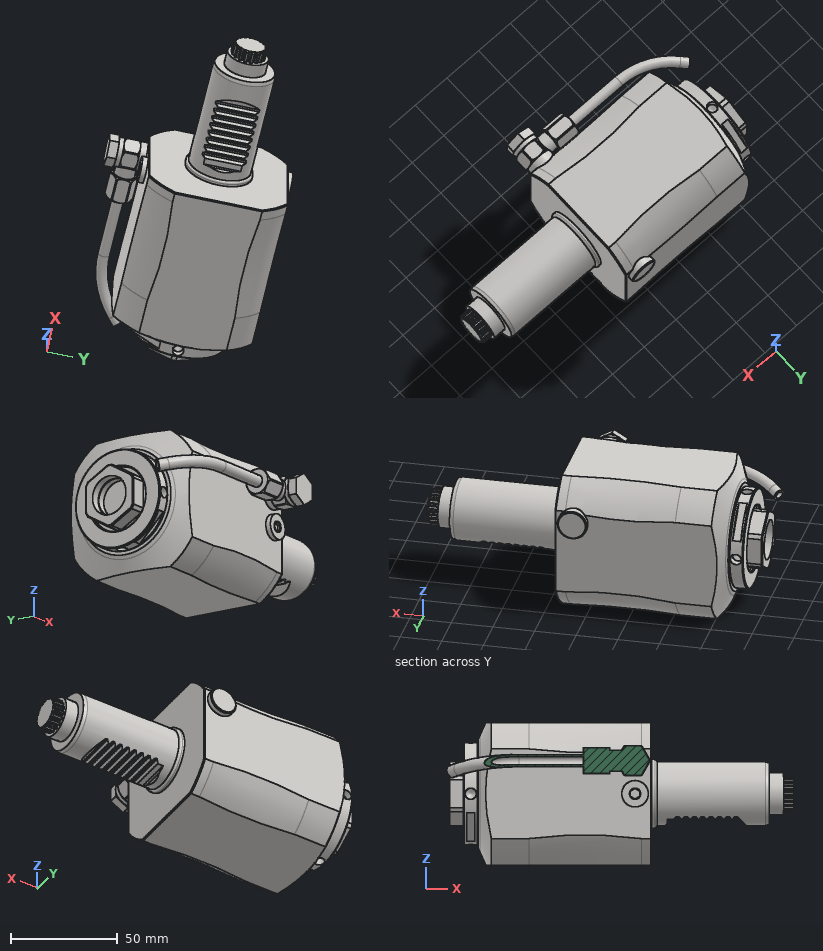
import cadquery as cq
import math

X_AXIS = (1, 0, 0)
Y_AXIS = (0, 1, 0)
Z_AXIS = (0, 0, 1)
HEX_HALF_ANGLE = math.radians(30)

BLOCK_FRONT = -81.4
BLOCK_SIZE = 67.0
FRONT_FACE_RADIUS = 25.7
FRONT_BEVEL_LENGTH = 0.8
CONE_START_RADIUS = 27.5
CONE_END = -75.2
CORNER_RADIUS = 39.5
WAIST_START = -57.7
WAIST_END = -4.9
WAIST_DEPTH = 0.9
REAR_CHAMFER = 0.5

FLANGE_RADIUS = 16.2
FLANGE_LENGTH = 2.5
SHANK_RADIUS = 15.0
SHANK_END = 55.0
SHANK_CHAMFER_LENGTH = 1.8
SHANK_CHAMFER_DEPTH = 0.5

RACK_START = 7.4
RACK_EDGE_CHAMFER = 1.0
RACK_TIP_Z = -12.1
RACK_TOOTH_HEIGHT = 1.3
RACK_FIRST_NOTCH = 12.1
RACK_PITCH = 4.0
RACK_NOTCHES = 8
NOTCH_BOTTOM_WIDTH = 1.0
NOTCH_TOP_WIDTH = 3.5
RACK_CLEAR_Z = -16.3

FITTING_X = -8.8
FITTING_Z = 15.5
BOSS_RADIUS = 7.0
BOSS_ROOT_Y = 24.5
PLUG_END_Y = 36.6
PLUG_CHAMFER = 0.5
BANJO_APOTHEM = 7.0
BANJO_INNER_Y = -37.0
BANJO_OUTER_Y = -44.8
BOLT_HEAD_APOTHEM = 6.9
BOLT_HEAD_INNER_Y = -47.2
BOLT_HEAD_OUTER_Y = -51.8
HEX_EDGE_CHAMFER = 0.8
HEX_CORNER_RELIEF = 0.2

PIPE_Y = (BANJO_INNER_Y + BANJO_OUTER_Y) / 2
NECK_RADIUS = 5.0
PIPE_NUT_APOTHEM = 6.0
PIPE_NUT_REAR = -19.6
PIPE_NUT_FRONT = -32.0
PIPE_RADIUS = 3.0
PIPE_BORE_RADIUS = 1.8
PIPE_STRAIGHT = 30.4
PIPE_BEND_RADIUS = 40.0
PIPE_BEND_ANGLE = math.radians(45)
PIPE_TILT = math.radians(20)
PIPE_TIP = 4.7

SCREW_X = -7.8
SCREW_RADIUS = 6.2
SCREW_HEIGHT = 2.6
SOCKET_APOTHEM = 2.1
SOCKET_RIM_RADIUS = 2.6
SOCKET_RIM_DEPTH = 0.3
SOCKET_DEPTH = 1.6

SHAFT_RADIUS = 10.0
SHAFT_END = 61.8
RING_FRONT = -88.3
RING_RADIUS = 24.0
RING_CHAMFER = 0.5
RECESS_RADIUS = 15.7
RECESS_DEPTH = 1.6
RECESS_CHAMFER = 0.5
HEX_FRONT = -95.1
HEX_APOTHEM = 13.5
HEX_CORNER_RADIUS = 15.0
HEX_FRONT_CHAMFER = 0.5
SPANNER_HOLES = 4
SPANNER_HOLE_X = -84.8
SPANNER_HOLE_RADIUS = 2.6
SPANNER_HOLE_DEPTH = 4.1
DRILL_TIP_HEIGHT = 1.6
FLAT_ANGLES = (45, 225)
FLAT_DISTANCE = 22.0
FLAT_WIDTH = 4.0
BORE_RADIUS = 9.5
BORE_DEPTH = 8.8
BORE_SEAT_RADIUS = 9.2
BORE_STEP_DEPTH = 4.7

SPLINE_END = 67.3
SPLINE_TIP_RADIUS = 8.2
SPLINE_ROOT_RADIUS = 7.2
SPLINE_TEETH = 18
SPLINE_CHAMFER = 0.8
SPLINE_GAP_BOTTOM_WIDTH = 0.8
SPLINE_GAP_TOP_WIDTH = 1.8


def cylinder(start, direction, radius, length):
    return cq.Workplane(cq.Solid.makeCylinder(radius, length, cq.Vector(*start), cq.Vector(*direction)))


def x_cylinder(x_start, x_end, radius):
    return cylinder((x_start, 0, 0), X_AXIS, radius, x_end - x_start)


def hex_prism(start, direction, corner_direction, apothem, length):
    plane = cq.Plane(origin=start, xDir=corner_direction, normal=direction)
    corner_radius = apothem / math.cos(HEX_HALF_ANGLE)
    return cq.Workplane(plane).polygon(6, 2 * corner_radius).extrude(length)


def chamfered_hex(start, direction, corner_direction, apothem, length):
    """Hexagonal prism with its corners turned down slightly and chamfered at both ends."""
    turned_radius = apothem / math.cos(HEX_HALF_ANGLE) - HEX_CORNER_RELIEF
    turned = cylinder(start, direction, turned_radius, length).edges().chamfer(HEX_EDGE_CHAMFER)
    return hex_prism(start, direction, corner_direction, apothem, length).intersect(turned)


def make_block():
    """Turned profile with a conical nose and a waist, squared by four flat sides."""
    waist_middle = ((WAIST_START + WAIST_END) / 2, CORNER_RADIUS - WAIST_DEPTH)
    turned = (
        cq.Workplane("XY")
        .moveTo(BLOCK_FRONT, 0)
        .lineTo(BLOCK_FRONT, FRONT_FACE_RADIUS)
        .lineTo(BLOCK_FRONT + FRONT_BEVEL_LENGTH, CONE_START_RADIUS)
        .lineTo(CONE_END, CORNER_RADIUS)
        .lineTo(WAIST_START, CORNER_RADIUS)
        .threePointArc(waist_middle, (WAIST_END, CORNER_RADIUS))
        .lineTo(0, CORNER_RADIUS)
        .lineTo(0, 0)
        .close()
        .revolve(360, (0, 0, 0), X_AXIS)
    )
    square = cq.Workplane("YZ").rect(BLOCK_SIZE, BLOCK_SIZE).extrude(BLOCK_FRONT)
    return turned.intersect(square).faces(">X").edges().chamfer(REAR_CHAMFER)


def make_shank():
    """Turned shank whose thin flange rounds down onto the shank, with the toothed flat cut in."""
    flange_round = FLANGE_RADIUS - SHANK_RADIUS
    round_start = FLANGE_LENGTH - flange_round
    round_middle = (
        round_start + flange_round * math.cos(math.radians(45)),
        SHANK_RADIUS + flange_round * math.sin(math.radians(45)),
    )
    shank = (
        cq.Workplane("XY")
        .moveTo(0, 0)
        .lineTo(0, FLANGE_RADIUS)
        .lineTo(round_start, FLANGE_RADIUS)
        .threePointArc(round_middle, (FLANGE_LENGTH, SHANK_RADIUS))
        .lineTo(SHANK_END - SHANK_CHAMFER_LENGTH, SHANK_RADIUS)
        .lineTo(SHANK_END, SHANK_RADIUS - SHANK_CHAMFER_DEPTH)
        .lineTo(SHANK_END, 0)
        .close()
        .revolve(360, (0, 0, 0), X_AXIS)
    )
    return shank.cut(make_rack_cutter())


def make_rack_cutter():
    """Clamping teeth: a flat with notches, leaving the shank by a 45 degree slope."""
    root_z = RACK_TIP_Z + RACK_TOOTH_HEIGHT
    chamfer_top_z = -SHANK_RADIUS + RACK_EDGE_CHAMFER
    outline = [
        (RACK_START - (chamfer_top_z - RACK_CLEAR_Z), RACK_CLEAR_Z),
        (RACK_START, chamfer_top_z),
        (RACK_START, RACK_TIP_Z),
    ]
    for notch in range(RACK_NOTCHES):
        middle = RACK_FIRST_NOTCH + notch * RACK_PITCH
        outline.append((middle - NOTCH_TOP_WIDTH / 2, RACK_TIP_Z))
        outline.append((middle - NOTCH_BOTTOM_WIDTH / 2, root_z))
        outline.append((middle + NOTCH_BOTTOM_WIDTH / 2, root_z))
        if notch < RACK_NOTCHES - 1:
            outline.append((middle + NOTCH_TOP_WIDTH / 2, RACK_TIP_Z))
    slope_start = outline[-1][0]
    outline.append((slope_start + root_z - RACK_CLEAR_Z, RACK_CLEAR_Z))
    return cq.Workplane("XZ").polyline(outline).close().extrude(SHANK_RADIUS, both=True)


def make_rear_plug():
    start = (FITTING_X, BOSS_ROOT_Y, FITTING_Z)
    plug = cylinder(start, Y_AXIS, BOSS_RADIUS, PLUG_END_Y - BOSS_ROOT_Y)
    return plug.faces(">Y").edges().chamfer(PLUG_CHAMFER)


def make_banjo_fitting():
    """Banjo bolt through a hexagonal banjo body."""
    boss_start = (FITTING_X, BOLT_HEAD_INNER_Y, FITTING_Z)
    banjo_start = (FITTING_X, BANJO_OUTER_Y, FITTING_Z)
    head_start = (FITTING_X, BOLT_HEAD_OUTER_Y, FITTING_Z)
    boss = cylinder(boss_start, Y_AXIS, BOSS_RADIUS, -BOSS_ROOT_Y - BOLT_HEAD_INNER_Y)
    banjo = chamfered_hex(banjo_start, Y_AXIS, X_AXIS, BANJO_APOTHEM, BANJO_INNER_Y - BANJO_OUTER_Y)
    head_length = BOLT_HEAD_INNER_Y - BOLT_HEAD_OUTER_Y
    head = hex_prism(head_start, Y_AXIS, Z_AXIS, BOLT_HEAD_APOTHEM, head_length)
    return boss.union(banjo).union(head)


def sweep_along_pipe(radius):
    """Round bar along the pipe's centre line: straight, bent towards the axis, then a short tip."""
    start = (PIPE_NUT_FRONT, PIPE_Y, FITTING_Z)
    bend_plane = cq.Plane(
        origin=start,
        xDir=(-1, 0, 0),
        normal=(0, -math.sin(PIPE_TILT), -math.cos(PIPE_TILT)),
    )

    def bend_point(angle):
        along = PIPE_STRAIGHT + PIPE_BEND_RADIUS * math.sin(angle)
        inward = PIPE_BEND_RADIUS * (1 - math.cos(angle))
        return along, inward

    bend_end = bend_point(PIPE_BEND_ANGLE)
    tip = (
        bend_end[0] + PIPE_TIP * math.cos(PIPE_BEND_ANGLE),
        bend_end[1] + PIPE_TIP * math.sin(PIPE_BEND_ANGLE),
    )
    path = (
        cq.Workplane(bend_plane)
        .lineTo(PIPE_STRAIGHT, 0)
        .threePointArc(bend_point(PIPE_BEND_ANGLE / 2), bend_end)
        .lineTo(*tip)
    )
    section_plane = cq.Plane(origin=start, xDir=Y_AXIS, normal=(-1, 0, 0))
    return cq.Workplane(section_plane).circle(radius).sweep(path)


def make_coolant_pipe():
    nut_start = (PIPE_NUT_FRONT, PIPE_Y, FITTING_Z)
    nut_length = PIPE_NUT_REAR - PIPE_NUT_FRONT
    nut = chamfered_hex(nut_start, X_AXIS, Y_AXIS, PIPE_NUT_APOTHEM, nut_length)
    neck_start = (PIPE_NUT_REAR, PIPE_Y, FITTING_Z)
    neck = cylinder(neck_start, X_AXIS, NECK_RADIUS, FITTING_X - PIPE_NUT_REAR)
    pipe = sweep_along_pipe(PIPE_RADIUS).cut(sweep_along_pipe(PIPE_BORE_RADIUS))
    return nut.union(neck).union(pipe)


def make_screw_plug():
    outer_y = -BLOCK_SIZE / 2 - SCREW_HEIGHT
    start = (SCREW_X, outer_y, 0)
    disc = cylinder(start, Y_AXIS, SCREW_RADIUS, SCREW_HEIGHT)
    rim = cylinder(start, Y_AXIS, SOCKET_RIM_RADIUS, SOCKET_RIM_DEPTH)
    socket = hex_prism(start, Y_AXIS, Z_AXIS, SOCKET_APOTHEM, SOCKET_DEPTH)
    return disc.cut(rim).cut(socket)


def make_housing():
    """Block, shank and coolant fittings in one solid, with a through bore for the spindle."""
    housing = make_block().union(make_shank())
    housing = housing.union(make_rear_plug())
    housing = housing.union(make_banjo_fitting())
    housing = housing.union(make_coolant_pipe())
    housing = housing.union(make_screw_plug())
    return housing.cut(x_cylinder(BLOCK_FRONT, SHANK_END, SHAFT_RADIUS))


def make_nut_ring():
    ring = x_cylinder(RING_FRONT, BLOCK_FRONT, RING_RADIUS).edges().chamfer(RING_CHAMFER)
    recess = x_cylinder(RING_FRONT, RING_FRONT + RECESS_DEPTH, RECESS_RADIUS)
    ring = ring.cut(recess)
    recess_edge = cq.selectors.RadiusNthSelector(0)
    ring = ring.faces("<X").edges(recess_edge).chamfer(RECESS_CHAMFER)
    for hole in range(SPANNER_HOLES):
        ring = ring.cut(make_spanner_hole().rotate((0, 0, 0), X_AXIS, hole * 360 / SPANNER_HOLES))
    for angle in FLAT_ANGLES:
        ring = ring.cut(make_flat_cutter().rotate((0, 0, 0), X_AXIS, angle))
    return ring


def make_spanner_hole():
    """Radial blind hole with a drill tip, open towards +Y."""
    bottom = RING_RADIUS - SPANNER_HOLE_DEPTH
    outline = [
        (0, bottom - DRILL_TIP_HEIGHT),
        (SPANNER_HOLE_RADIUS, bottom),
        (SPANNER_HOLE_RADIUS, RING_RADIUS + SPANNER_HOLE_DEPTH),
        (0, RING_RADIUS + SPANNER_HOLE_DEPTH),
    ]
    hole = cq.Workplane("XY").polyline(outline).close().revolve(360, (0, 0, 0), Y_AXIS)
    return hole.translate((SPANNER_HOLE_X, 0, 0))


def make_flat_cutter():
    """Box that leaves a narrow flat on the +Y side of the ring."""
    depth = RING_RADIUS - FLAT_DISTANCE
    return (
        cq.Workplane("XY")
        .box(FLAT_WIDTH, depth, 2 * RING_RADIUS)
        .translate((SPANNER_HOLE_X, FLAT_DISTANCE + depth / 2, 0))
    )


def make_nut_hex():
    """Hexagon with turned corners, reaching down to the bottom of the ring's recess."""
    recess_bottom = RING_FRONT + RECESS_DEPTH
    length = recess_bottom - HEX_FRONT
    prism = hex_prism((HEX_FRONT, 0, 0), X_AXIS, Z_AXIS, HEX_APOTHEM, length)
    turned = x_cylinder(HEX_FRONT, recess_bottom, HEX_CORNER_RADIUS)
    return prism.intersect(turned).faces("<X").edges().chamfer(HEX_FRONT_CHAMFER)


def make_spline():
    """Splined stub: tapered gaps cut evenly around a chamfered cylinder, with a tooth on +Y."""
    spline = x_cylinder(SHAFT_END, SPLINE_END, SPLINE_TIP_RADIUS)
    spline = spline.faces(">X").edges().chamfer(SPLINE_CHAMFER)
    gap = (
        cq.Workplane("YZ", origin=(SHAFT_END, 0, 0))
        .moveTo(SPLINE_ROOT_RADIUS, -SPLINE_GAP_BOTTOM_WIDTH / 2)
        .lineTo(SPLINE_TIP_RADIUS, -SPLINE_GAP_TOP_WIDTH / 2)
        .lineTo(SPLINE_TIP_RADIUS, SPLINE_GAP_TOP_WIDTH / 2)
        .lineTo(SPLINE_ROOT_RADIUS, SPLINE_GAP_BOTTOM_WIDTH / 2)
        .close()
        .extrude(SPLINE_END - SHAFT_END)
    )
    tooth_angle = 360 / SPLINE_TEETH
    for tooth in range(SPLINE_TEETH):
        spline = spline.cut(gap.rotate((0, 0, 0), X_AXIS, (tooth + 0.5) * tooth_angle))
    return spline


def make_spindle():
    """Shaft running through the housing, with the clamping nut in front and the spline behind."""
    shaft = x_cylinder(BLOCK_FRONT, SHAFT_END, SHAFT_RADIUS)
    spindle = shaft.union(make_nut_ring()).union(make_nut_hex()).union(make_spline())
    entry = x_cylinder(HEX_FRONT, HEX_FRONT + BORE_STEP_DEPTH, BORE_RADIUS)
    seat = x_cylinder(HEX_FRONT, HEX_FRONT + BORE_DEPTH, BORE_SEAT_RADIUS)
    return spindle.cut(entry).cut(seat)


housing = make_housing()
spindle = make_spindle()
result = cq.Compound.makeCompound([housing.solids().val(), spindle.solids().val()])